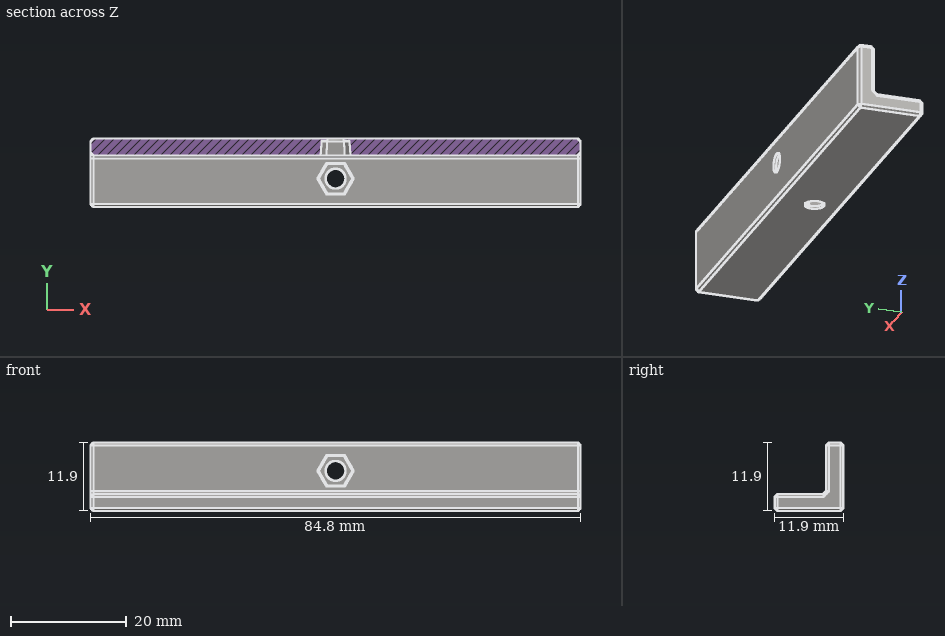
import cadquery as cq
import math

length = 84.8
leg = 11.9
thickness = 3.0
chamfer = 0.5
hole_diameter = 3.4
hole_offset = 6.95
mouth_flats = 5.4
floor_flats = 5.1
nut_depth = 2.5


def across_corners(flats):
    """Corner-to-corner width of a regular hexagon."""
    return flats / math.cos(math.pi / 6)


def angle_bar():
    """L-shaped bar with its upright leg at +Y, bevelled along every edge."""
    back = leg / 2
    front = -leg / 2
    inner = back - thickness
    outline = [
        (front, 0),
        (back, 0),
        (back, leg),
        (inner, leg),
        (inner, thickness),
        (front, thickness),
    ]
    bar = cq.Workplane("YZ").polyline(outline).close().extrude(length / 2, both=True)
    return bar.edges().chamfer(chamfer)


def nut_hole(inner_face):
    """Screw hole through a leg with a tapered nut pocket sunk from the given inner face plane."""
    hole = inner_face.circle(hole_diameter / 2).extrude(-thickness)
    mouth = inner_face.polygon(6, across_corners(mouth_flats))
    floor = mouth.workplane(offset=-nut_depth).polygon(6, across_corners(floor_flats))
    pocket = floor.loft(ruled=True)
    return hole.union(pocket)


hole_inset = leg / 2 - hole_offset
base_face = cq.Workplane("XY", origin=(0, hole_inset, thickness))
upright_face = cq.Workplane("XZ", origin=(0, leg / 2 - thickness, hole_offset))

result = angle_bar().cut(nut_hole(base_face)).cut(nut_hole(upright_face))